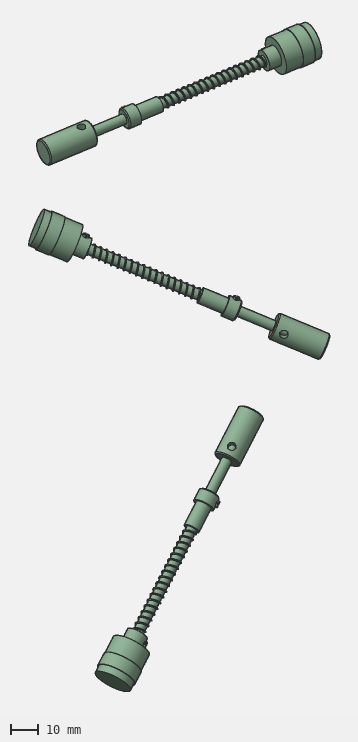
import cadquery as cq

TOTAL_LENGTH = 113.0

CAP_DIAMETER = 14.2
CAP_LENGTH = 2.8
BAND_DIAMETER = 15.0
BAND_LENGTH = 5.1
BODY_DIAMETER = 14.6
BODY_LENGTH = 7.1

COLLAR_DIAMETER = 8.0
COLLAR_LENGTH = 5.0
COLLAR_CHAMFER = 0.5
SCREW_DIAMETER = 2.5
SCREW_PROJECTION = 0.7
SLOT_WIDTH = 0.6
SLOT_DEPTH = 0.5

ROD_DIAMETER = 4.0
SLEEVE_DIAMETER = 6.0
SLEEVE_LENGTH = 9.8
WEIGHT_DIAMETER = 10.1
WEIGHT_LENGTH = 20.0
WEIGHT_CHAMFER = 0.5
CROSS_HOLE_DIAMETER = 3.0
CROSS_HOLE_FROM_SHOULDER = 4.0
ROD_EXPOSED_LENGTH = 14.0

SPRING_OUTER_DIAMETER = 5.0
WIRE_DIAMETER = 0.6
SPRING_TURNS = 18.3

weight_start = -TOTAL_LENGTH / 2
weight_end = weight_start + WEIGHT_LENGTH
lower_collar_start = weight_end + ROD_EXPOSED_LENGTH
sleeve_start = lower_collar_start + COLLAR_LENGTH
spring_start = sleeve_start + SLEEVE_LENGTH
cap_start = TOTAL_LENGTH / 2 - CAP_LENGTH
band_start = cap_start - BAND_LENGTH
body_start = band_start - BODY_LENGTH
upper_collar_start = body_start - COLLAR_LENGTH


def cylinder(diameter, start, length):
    """Round bar along +Y, on the Y axis."""
    axis_plane = cq.Plane(origin=(0, start, 0), xDir=(1, 0, 0), normal=(0, 1, 0))
    return cq.Workplane(axis_plane).circle(diameter / 2).extrude(length)


def make_head():
    cap = cylinder(CAP_DIAMETER, cap_start, CAP_LENGTH)
    band = cylinder(BAND_DIAMETER, band_start, BAND_LENGTH)
    body = cylinder(BODY_DIAMETER, body_start, BODY_LENGTH)
    return cap.union(band).union(body)


def make_collar(start):
    """Collar and its slotted clamping screw, which stands out on the -X side."""
    collar = cylinder(COLLAR_DIAMETER, start, COLLAR_LENGTH)
    head_x = -COLLAR_DIAMETER / 2 - SCREW_PROJECTION
    screw_plane = cq.Plane(
        origin=(head_x, start + COLLAR_LENGTH / 2, 0), xDir=(0, 1, 0), normal=(1, 0, 0)
    )
    screw_length = COLLAR_DIAMETER / 2
    screw = cq.Workplane(screw_plane).circle(SCREW_DIAMETER / 2).extrude(screw_length)
    slot = cq.Workplane(screw_plane).rect(SLOT_WIDTH, SCREW_DIAMETER).extrude(SLOT_DEPTH)
    return collar, screw.cut(slot)


def make_weight():
    """Chamfered weight with a cross hole that leaves the rod visible inside."""
    weight = cylinder(WEIGHT_DIAMETER, weight_start, WEIGHT_LENGTH)
    weight = weight.faces("<Y or >Y").chamfer(WEIGHT_CHAMFER)
    hole = (
        cq.Workplane("XY")
        .center(0, weight_end - CROSS_HOLE_FROM_SHOULDER)
        .circle(CROSS_HOLE_DIAMETER / 2)
        .extrude(WEIGHT_DIAMETER, both=True)
    )
    return weight.cut(hole)


def make_spring():
    """Right-handed coil around the rod, from the sleeve to the head collar."""
    length = upper_collar_start - spring_start
    coil_radius = (SPRING_OUTER_DIAMETER - WIRE_DIAMETER) / 2
    path = cq.Wire.makeHelix(length / SPRING_TURNS, length, coil_radius)
    section = cq.Workplane("XZ").center(coil_radius, 0).circle(WIRE_DIAMETER / 2)
    coil = section.sweep(cq.Workplane(path), isFrenet=True)
    return coil.rotate((0, 0, 0), (1, 0, 0), -90).translate((0, spring_start, 0))


lower_collar, lower_screw = make_collar(lower_collar_start)
lower_collar = lower_collar.faces("<Y").chamfer(COLLAR_CHAMFER)
upper_collar, upper_screw = make_collar(upper_collar_start)

rod_start = weight_start + WEIGHT_CHAMFER
rod = cylinder(ROD_DIAMETER, rod_start, band_start - rod_start)
result = (
    rod.union(make_weight())
    .union(cylinder(SLEEVE_DIAMETER, sleeve_start, SLEEVE_LENGTH))
    .union(lower_collar)
    .union(lower_screw)
    .union(upper_collar)
    .union(upper_screw)
    .union(make_head())
    .union(make_spring())
)